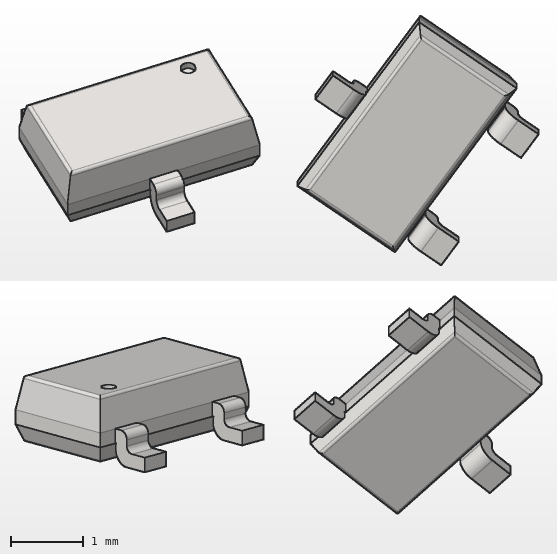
import cadquery as cq
import math

body_length = 2.9
body_width = 1.65
body_bottom = 0.05
body_top = 1.0
upper_draft = 10.0
lower_draft = 20.0
edge_radius = 0.05

lead_span = 2.8
lead_thickness = 0.212
lead_width = 0.42
lead_pitch = 1.9
shank_gap = 0.015
shoulder_radius = 0.11
inner_foot_radius = 0.1
outer_foot_radius = 0.212

band_top = 0.51
band_bottom = band_top - lead_thickness

mark_diameter = 0.205
mark_depth = 0.107
mark_inset = 0.334


def make_housing():
    band = (
        cq.Workplane("XY", origin=(0, 0, band_bottom))
        .rect(body_width, body_length)
        .extrude(band_top - band_bottom)
    )
    upper = (
        cq.Workplane("XY", origin=(0, 0, band_top))
        .rect(body_width, body_length)
        .extrude(body_top - band_top, taper=upper_draft)
    )
    lower = (
        cq.Workplane("XY", origin=(0, 0, band_bottom))
        .rect(body_width, body_length)
        .extrude(body_bottom - band_bottom, taper=lower_draft)
    )
    shell = band.union(upper).union(lower)
    shell = shell.faces(">Z or <Z").edges().fillet(edge_radius)
    mark = (
        cq.Workplane("XY", origin=(mark_inset - body_width / 2, lead_pitch / 2, body_top - mark_depth))
        .circle(mark_diameter / 2)
        .extrude(mark_depth)
    )
    return shell.cut(mark).solids()


def make_lead(y_center, side):
    """One lead centred on y_center; side is -1 for the -X side and +1 for the +X side."""
    root = body_width / 2
    tip = lead_span / 2
    shank_inner = root + shank_gap
    shank_outer = shank_inner + lead_thickness
    diagonal = math.sqrt(0.5)

    def arc_middle(center_x, center_z, radius, direction):
        """Middle of a quarter arc that lies up-outward (+1) or down-inward (-1) of its centre."""
        return (
            side * (center_x + direction * radius * diagonal),
            center_z + direction * radius * diagonal,
        )

    def place(x, z):
        return (side * x, z)

    shoulder_x = shank_outer - shoulder_radius
    shoulder_z = band_top - shoulder_radius
    inner_x = shank_outer + inner_foot_radius
    inner_z = lead_thickness + inner_foot_radius
    outer_x = shank_inner + outer_foot_radius

    profile = (
        cq.Workplane("XZ", origin=(0, y_center + lead_width / 2, 0))
        .moveTo(*place(root, band_top))
        .lineTo(*place(shoulder_x, band_top))
        .threePointArc(
            arc_middle(shoulder_x, shoulder_z, shoulder_radius, 1),
            place(shank_outer, shoulder_z),
        )
        .lineTo(*place(shank_outer, inner_z))
        .threePointArc(
            arc_middle(inner_x, inner_z, inner_foot_radius, -1),
            place(inner_x, lead_thickness),
        )
        .lineTo(*place(tip, lead_thickness))
        .lineTo(*place(tip, 0))
        .lineTo(*place(outer_x, 0))
        .threePointArc(
            arc_middle(outer_x, outer_foot_radius, outer_foot_radius, -1),
            place(shank_inner, outer_foot_radius),
        )
        .lineTo(*place(shank_inner, band_bottom))
        .lineTo(*place(root, band_bottom))
        .close()
    )
    return profile.extrude(lead_width)


lead_places = [(lead_pitch / 2, -1), (-lead_pitch / 2, -1), (0, 1)]

housing = make_housing()
leads = [make_lead(y_center, side) for y_center, side in lead_places]

result = cq.Compound.makeCompound([housing.val(), *[lead.val() for lead in leads]])